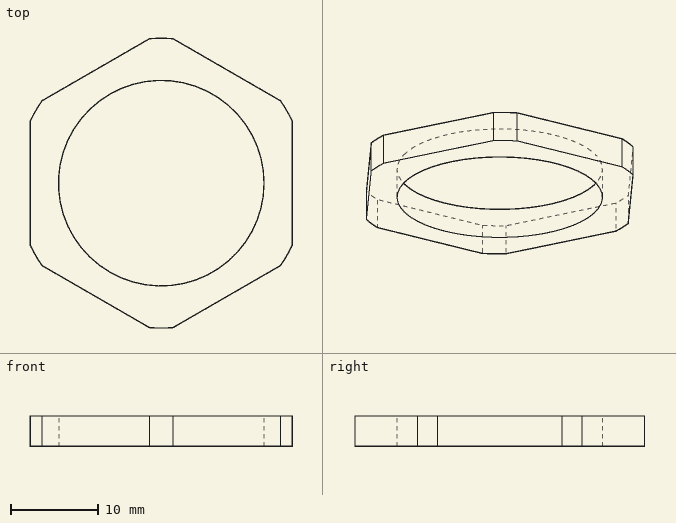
import cadquery as cq
import math

across_flats = 30.0
corner_diameter = 33.2
bore_diameter = 23.5
thickness = 3.5

sharp_corner_diameter = across_flats / math.cos(math.pi / 6)


def hexagon_blank():
    """Full hexagonal plate with flats facing +X and -X, corners on the Y axis."""
    plate = cq.Workplane("XY").polygon(6, sharp_corner_diameter).extrude(thickness)
    return plate.rotate((0, 0, 0), (0, 0, 1), 90)


def disc(diameter):
    """Cylinder on the Z axis, as tall as the nut."""
    return cq.Workplane("XY").circle(diameter / 2).extrude(thickness)


rounded_blank = hexagon_blank().intersect(disc(corner_diameter))
result = rounded_blank.cut(disc(bore_diameter))